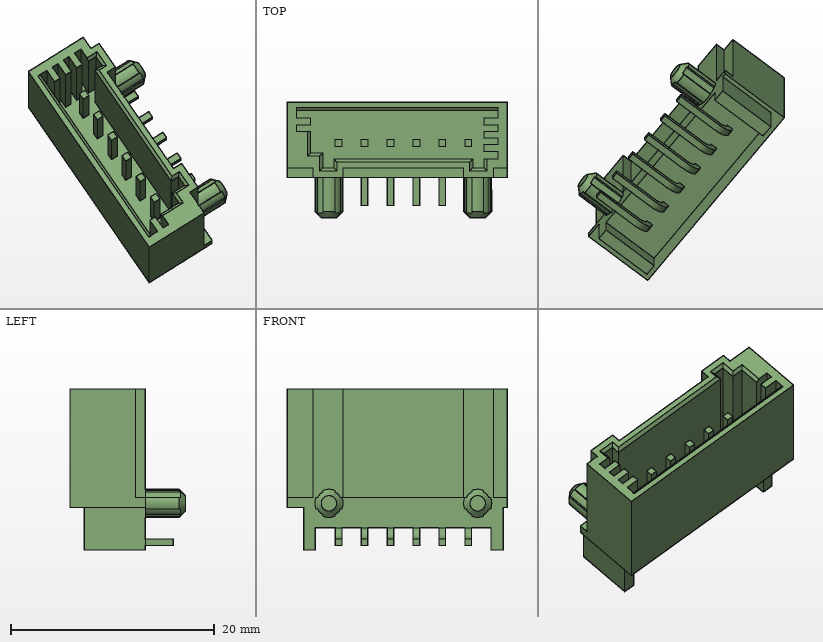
import cadquery as cq


length = 21.6
depth = 7.39
height = 15.8
shoulder_z = 4.15
ledge_z = 5.16
base_z = 2.18
base_depth = 6.0
base_left = 1.62
base_right = 21.21
left_foot_width = 1.15
right_foot_width = 1.23

recess_depth = 0.95
boss_width = 2.92
boss_lefts = (2.55, 17.3)

cavity_left = 0.9
cavity_right = 20.7
finger_length = 1.38
left_tip = cavity_left + finger_length
right_tip = cavity_right - finger_length
cavity_back = 6.55
rib_back = 1.81
notch_front = 0.95
left_notch = (3.5, 4.58)
right_notch = (18.2, right_tip)
key_step_y = 2.4
rim_chamfer = 0.3

slot_width = 0.65
first_slot_y = 4.51
slot_pitch = 2 * slot_width

peg_xs = (4.1, 18.68)
peg_z = 4.58
peg_length = 3.95
peg_tip_radius = 0.75
core_radius = 1.25
rib_radius = 1.38
rib_width = 1.15

pin_count = 6
pin_row_length = 12.7
pin_pitch = pin_row_length / (pin_count - 1)
first_pin_x = 5.05
pin_size = 0.67
pin_y = 3.37
pin_top = 11.45
pin_tail_length = 2.76
bend_inner_radius = 1.08
bend_outer_radius = bend_inner_radius + pin_size


def block(x_range, y_range, z_range):
    """Box between the given limits along each axis."""
    sizes = [high - low for low, high in (x_range, y_range, z_range)]
    corner = (x_range[0], y_range[0], z_range[0])
    return cq.Workplane("XY").box(*sizes, centered=False).translate(corner)


def make_body():
    """Solid upper body with the base and the two feet below it."""
    body = block((0, length), (0, depth), (shoulder_z, height))
    body = body.union(block((base_left, base_right), (0, base_depth), (base_z, shoulder_z)))
    feet = (
        (base_left, base_left + left_foot_width),
        (base_right - right_foot_width, base_right),
    )
    for foot in feet:
        body = body.union(block(foot, (0, base_depth), (0, shoulder_z)))
    return body


def make_front_recess():
    """Material removed above the ledge, all along the front except at the bosses."""
    recess = block((0, length), (0, recess_depth), (ledge_z, height))
    for left in boss_lefts:
        recess = recess.cut(block((left, left + boss_width), (0, recess_depth), (ledge_z, height)))
    return recess


def make_cavity():
    """Cavity with two notches in front, a key step beside the left one and slots at the sides."""
    z_range = (ledge_z, height)
    cavity = block((left_tip, right_tip), (key_step_y, cavity_back), z_range)
    cavity = cavity.union(block((left_notch[0], right_tip), (rib_back, key_step_y), z_range))
    for notch in (left_notch, right_notch):
        cavity = cavity.union(block(notch, (notch_front, rib_back), z_range))

    back_slot = (first_slot_y + slot_pitch, cavity_back)
    left_slots = [back_slot, (first_slot_y, first_slot_y + slot_width)]
    second_slot_y = first_slot_y - slot_pitch
    right_slots = left_slots + [
        (second_slot_y, second_slot_y + slot_width),
        (rib_back, second_slot_y - slot_width),
    ]
    for slot in left_slots:
        cavity = cavity.union(block((cavity_left, left_tip), slot, z_range))
    for slot in right_slots:
        cavity = cavity.union(block((right_tip, cavity_right), slot, z_range))
    return cavity


def rim_edges(x_range, y_range):
    """Selector for top edges whose midpoints lie within the given limits."""
    margin = 0.02
    return cq.selectors.BoxSelector(
        (x_range[0] - margin, y_range[0] - margin, height - margin),
        (x_range[1] + margin, y_range[1] + margin, height + margin),
    )


def make_housing():
    """Hollow housing with its cavity rim chamfered along the key step, the front and the back."""
    housing = make_body().cut(make_cavity())
    key_step_edges = rim_edges((left_tip, left_notch[0]), (key_step_y, first_slot_y - slot_width / 2))
    front_edges = rim_edges((left_notch[0], right_tip), (notch_front, rib_back))
    back_edge = rim_edges((left_tip, right_tip), (cavity_back, cavity_back))
    lead_in_edges = key_step_edges + front_edges + back_edge
    housing = housing.edges(lead_in_edges).chamfer(rim_chamfer)
    return housing.cut(make_front_recess())


def make_round_peg(radius):
    """Round peg along -Y from the origin, with a 45 degree cone down to the tip."""
    cone_length = radius - peg_tip_radius
    peg = cq.Workplane("XZ").circle(radius).extrude(peg_length)
    return peg.faces("<Y").chamfer(cone_length)


def make_peg():
    """Peg core with four crush ribs spaced at right angles."""
    span = 2 * rib_radius
    cross = cq.Workplane("XZ").rect(rib_width, span).extrude(peg_length)
    cross = cross.union(cq.Workplane("XZ").rect(span, rib_width).extrude(peg_length))
    ribs = make_round_peg(rib_radius).intersect(cross)
    return make_round_peg(core_radius).union(ribs)


def make_pin(center_x):
    """Square pin rising through the floor and bent forward below the base."""
    front_y = pin_y - pin_size / 2
    back_y = pin_y + pin_size / 2
    bend_y = front_y - bend_inner_radius
    tail_top = base_z - bend_inner_radius
    tail_bottom = base_z - bend_outer_radius
    half_chord = 0.5 ** 0.5
    inner_mid = (bend_y + bend_inner_radius * half_chord, base_z - bend_inner_radius * half_chord)
    outer_mid = (bend_y + bend_outer_radius * half_chord, base_z - bend_outer_radius * half_chord)
    return (
        cq.Workplane("YZ", origin=(center_x - pin_size / 2, 0, 0))
        .moveTo(front_y, pin_top)
        .lineTo(front_y, base_z)
        .threePointArc(inner_mid, (bend_y, tail_top))
        .lineTo(-pin_tail_length, tail_top)
        .lineTo(-pin_tail_length, tail_bottom)
        .lineTo(bend_y, tail_bottom)
        .threePointArc(outer_mid, (back_y, base_z))
        .lineTo(back_y, pin_top)
        .close()
        .extrude(pin_size)
    )


result = make_housing()
for peg_x in peg_xs:
    result = result.union(make_peg().translate((peg_x, 0, peg_z)))
for index in range(pin_count):
    result = result.union(make_pin(first_pin_x + index * pin_pitch))